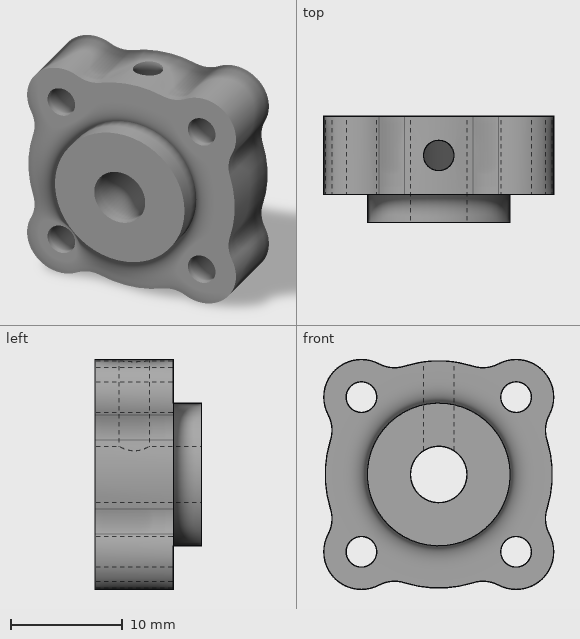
import cadquery as cq
import math

flange_width = 20.57
flange_thickness = 7.01
total_depth = 9.52
disc_radius = 10.16
lobe_offset = 6.91
blend_radius = 2.95
hub_radius = 6.38
bore_radius = 2.5
small_hole_radius = 1.35

lobe_radius = flange_width / 2 - lobe_offset
lobe_distance = math.hypot(lobe_offset, lobe_offset)


def polar(radius, angle):
    """Point in the flange plane at the given radius and angle in radians."""
    return radius * math.cos(angle), radius * math.sin(angle)


def point_towards(start, end, distance):
    """Point at a distance from start along the line to end."""
    length = math.hypot(end[0] - start[0], end[1] - start[1])
    return tuple(a + (b - a) * distance / length for a, b in zip(start, end))


def flange_outline():
    """Central disc blended by concave arcs into four corner lobes."""
    centre_distance = disc_radius + blend_radius
    lobe_to_blend = lobe_radius + blend_radius
    cosine = (lobe_distance**2 + centre_distance**2 - lobe_to_blend**2) / (
        2 * lobe_distance * centre_distance
    )
    blend_angle = math.acos(cosine)

    outline = cq.Workplane("XZ").moveTo(*polar(disc_radius, math.pi / 4 - blend_angle))
    for corner in range(4):
        middle = math.pi / 4 + corner * math.pi / 2
        lobe_centre = polar(lobe_distance, middle)
        first_blend = polar(centre_distance, middle - blend_angle)
        second_blend = polar(centre_distance, middle + blend_angle)
        lobe_tip = polar(lobe_distance + lobe_radius, middle)
        lobe_start = point_towards(lobe_centre, first_blend, lobe_radius)
        lobe_end = point_towards(lobe_centre, second_blend, lobe_radius)
        disc_start = polar(disc_radius, middle - blend_angle)
        disc_end = polar(disc_radius, middle + blend_angle)

        first_chord = tuple((a + b) / 2 for a, b in zip(disc_start, lobe_start))
        second_chord = tuple((a + b) / 2 for a, b in zip(lobe_end, disc_end))
        first_middle = point_towards(first_blend, first_chord, blend_radius)
        second_middle = point_towards(second_blend, second_chord, blend_radius)

        next_middle = middle + math.pi / 2
        side_middle = polar(disc_radius, middle + math.pi / 4)
        next_disc_start = polar(disc_radius, next_middle - blend_angle)
        outline = (
            outline.threePointArc(first_middle, lobe_start)
            .threePointArc(lobe_tip, lobe_end)
            .threePointArc(second_middle, disc_end)
            .threePointArc(side_middle, next_disc_start)
        )
    return outline.close()


flange = flange_outline().extrude(flange_thickness)
hub = cq.Workplane("XZ").circle(hub_radius).extrude(total_depth)

bore = cq.Workplane("XZ").circle(bore_radius).extrude(total_depth)
mounting_holes = (
    cq.Workplane("XZ")
    .rect(2 * lobe_offset, 2 * lobe_offset, forConstruction=True)
    .vertices()
    .circle(small_hole_radius)
    .extrude(flange_thickness)
)

set_screw_hole = (
    cq.Workplane("XY")
    .center(0, -flange_thickness / 2)
    .circle(small_hole_radius)
    .extrude(flange_width / 2)
)

result = flange.union(hub).cut(bore).cut(mounting_holes).cut(set_screw_hole)